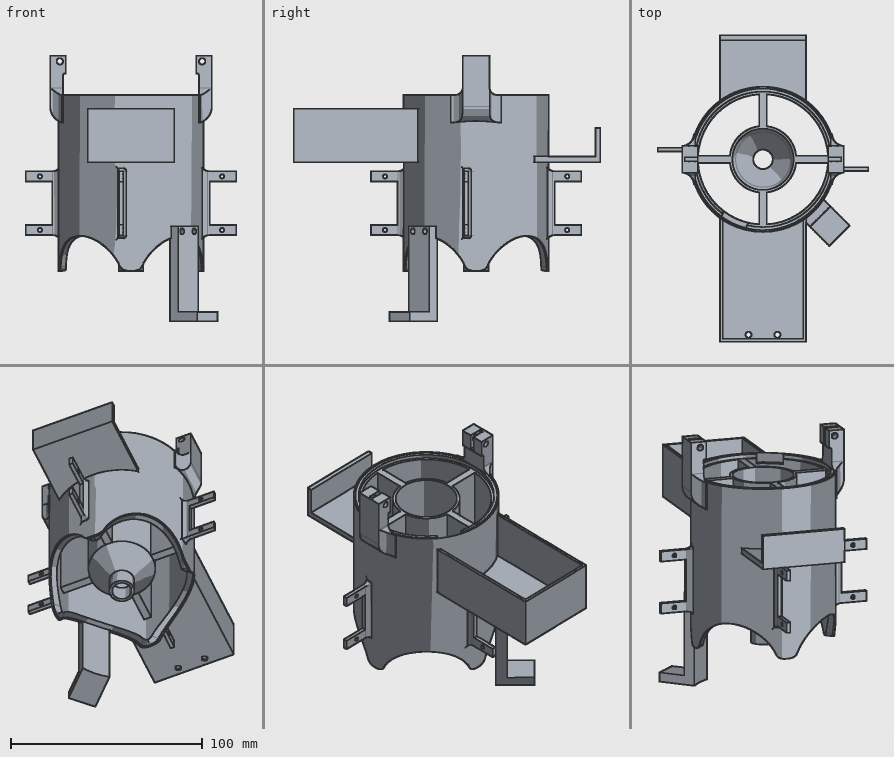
import cadquery as cq
import math

RIM_Z = 91.9
TUBE_INNER_R = 33.9
LIP_INNER_R = 35.3
TUBE_OUTER_R = 36.9
LIP_HEIGHT = 2.0
LEDGE_Z = RIM_Z - LIP_HEIGHT
NOTCH_ANGLE = 245
NOTCH_WIDTH = 14.0
NOTCH_DEPTH = 4.8

FUNNEL_OUTER_R = 17.4
FUNNEL_INNER_R = 16.0
CONE_TOP_R = 14.4
OUTLET_OUTER_D = 13.0
OUTLET_INNER_D = 10.0
CONE_BOTTOM_Z = 9.6
FUNNEL_WALL = 1.5
RIB_BOTTOM_Z = 20.5
RIB_WIDTH = 4.0

SHELL_OUTER_R = 37.9
SHELL_WALL = 0.08

ARCH_R = 23.7
ARCH_TOP_Z = 18.4
ARCH_TIP_R = 4.0

BOX_WIDTH = 44.9
BOX_END_Y = -95.1
BOX_BOTTOM_Z = 56.7
BOX_HEIGHT = 28.0
BOX_WALL = 1.5
BOX_HOLE_D = 3.0
BOX_HOLE_SPACING = 15.0
BOX_HOLE_Y = -91.4
TRAY_END_Y = 64.7
TRAY_FLOOR = 3.0
TRAY_WALL = 2.5
TRAY_HEIGHT = 17.9

RAIL_OFFSET = 5.1
RAIL_THICKNESS = 2.0
RAIL_BOTTOM_Z = 18.7
RAIL_HEIGHT = 33.4
RAIL_WEB_R = 41.0
RAIL_SPAN = 109.8
RAIL_ARM_R = RAIL_SPAN / 2
RAIL_ARM_HEIGHT = 5.5
RAIL_HOLE_D = 2.0
RAIL_HOLE_R = 47.5
RAIL_FILLET = 4.0

LUG_TOP_Z = 112.3
LUG_BOTTOM_Z = 77.0
LUG_OUTER_X = 42.2
LUG_WIDTH = 14.0
LUG_ROUND = 8.8
LUG_HEAD_BOTTOM_Z = 102.9
LUG_NECK_FILLET = 0.8
LUG_FLARE_R = 6.0
LUG_TOP_FILLET = 3.7
LUG_SLOT_WIDTH = 2.0
LUG_SLOT_END_X = 40.7
LUG_SLOT_BOTTOM_Z = 103.5
LUG_HOLE_D = 3.2
LUG_HOLE_X = 37.0
LUG_HOLE_Z = 109.3

FOOT_ANGLE = -45
FOOT_WIDTH = 15.0
FOOT_FACE_R = 42.2
FOOT_TOE_R = 56.4
FOOT_BOTTOM_Z = -26.2
FOOT_TOP_Z = 23.5
FOOT_TOE_THICKNESS = 5.0
FOOT_HOLE_D = 3.0
FOOT_HOLE_SPACING = 9.0
FOOT_HOLE_Z = 20.8


def cylinder(radius, bottom_z, top_z):
    return cq.Workplane("XY").workplane(offset=bottom_z).circle(radius).extrude(top_z - bottom_z)


def block(x_range, y_range, z_range):
    """Box given by its low and high limits along each axis."""
    lows, highs = zip(x_range, y_range, z_range)
    sizes = [high - low for low, high in zip(lows, highs)]
    return cq.Workplane("XY").box(*sizes, centered=False).translate(lows)


def turned(body, angle):
    return body.rotate((0, 0, 0), (0, 0, 1), angle)


def arch_cutter():
    """Two crossing diagonal tunnels whose arch runs tangentially into rounded leg tips."""
    centre_z = ARCH_TOP_Z - ARCH_R
    tip_u = math.sqrt((ARCH_R + ARCH_TIP_R) ** 2 - (ARCH_TIP_R - centre_z) ** 2)
    share = ARCH_R / (ARCH_R + ARCH_TIP_R)
    tangent_u = tip_u * share
    tangent_z = centre_z + (ARCH_TIP_R - centre_z) * share
    tip_angle = math.atan2(tangent_z - ARCH_TIP_R, tangent_u - tip_u) % (2 * math.pi)
    middle_angle = (tip_angle + 1.5 * math.pi) / 2
    middle_u = tip_u + ARCH_TIP_R * math.cos(middle_angle)
    middle_z = ARCH_TIP_R + ARCH_TIP_R * math.sin(middle_angle)
    tunnel = (
        cq.Workplane("XZ")
        .moveTo(-tip_u, 0)
        .threePointArc((-middle_u, middle_z), (-tangent_u, tangent_z))
        .threePointArc((0, ARCH_TOP_Z), (tangent_u, tangent_z))
        .threePointArc((middle_u, middle_z), (tip_u, 0))
        .close()
        .extrude(2 * SHELL_OUTER_R, both=True)
    )
    tunnel = tunnel.cut(cylinder(FUNNEL_OUTER_R, 0, ARCH_TOP_Z))
    return turned(tunnel, 45).union(turned(tunnel, -45))


def make_funnel():
    """Cup with a 45 degree cone, rounded into the cup wall, above a straight outlet."""
    outlet_outer_r = OUTLET_OUTER_D / 2
    outlet_inner_r = OUTLET_INNER_D / 2
    shoulder_z = CONE_BOTTOM_Z + FUNNEL_OUTER_R - outlet_outer_r
    inner_rise = CONE_BOTTOM_Z - outlet_outer_r + FUNNEL_WALL * math.sqrt(2)
    round_r = (FUNNEL_INNER_R - CONE_TOP_R) / (1 - math.sqrt(0.5))
    round_start_z = CONE_TOP_R + inner_rise
    round_end_z = round_start_z + round_r * math.sqrt(0.5)
    middle = math.radians(45 / 2)
    round_middle = (
        FUNNEL_INNER_R - round_r * (1 - math.cos(middle)),
        round_end_z - round_r * math.sin(middle),
    )
    return (
        cq.Workplane("XZ")
        .moveTo(outlet_inner_r, 0)
        .lineTo(outlet_outer_r, 0)
        .lineTo(outlet_outer_r, CONE_BOTTOM_Z)
        .lineTo(FUNNEL_OUTER_R, shoulder_z)
        .lineTo(FUNNEL_OUTER_R, LEDGE_Z)
        .lineTo(FUNNEL_INNER_R, LEDGE_Z)
        .lineTo(FUNNEL_INNER_R, round_end_z)
        .threePointArc(round_middle, (CONE_TOP_R, round_start_z))
        .lineTo(outlet_inner_r, outlet_inner_r + inner_rise)
        .close()
        .revolve(360, (0, 0, 0), (0, 1, 0))
    )


def make_rib():
    """Rib along +X, sunk a little into the funnel and the tube so that they join."""
    return block(
        (FUNNEL_OUTER_R - FUNNEL_WALL / 2, TUBE_INNER_R + FUNNEL_WALL / 2),
        (-RIB_WIDTH / 2, RIB_WIDTH / 2),
        (RIB_BOTTOM_Z, LEDGE_Z),
    )


def make_rail():
    """Rail beside the +X axis: an upright web with a drilled arm at each end."""
    y_range = (-RAIL_OFFSET - RAIL_THICKNESS / 2, -RAIL_OFFSET + RAIL_THICKNESS / 2)
    top_z = RAIL_BOTTOM_Z + RAIL_HEIGHT
    rail = block((TUBE_INNER_R, RAIL_ARM_R), y_range, (RAIL_BOTTOM_Z, top_z))
    gap = block(
        (RAIL_WEB_R, RAIL_ARM_R),
        y_range,
        (RAIL_BOTTOM_Z + RAIL_ARM_HEIGHT, top_z - RAIL_ARM_HEIGHT),
    )
    hole_inset = RAIL_ARM_HEIGHT / 2
    holes = (
        cq.Workplane("XZ")
        .pushPoints([(RAIL_HOLE_R, z) for z in (RAIL_BOTTOM_Z + hole_inset, top_z - hole_inset)])
        .circle(RAIL_HOLE_D / 2)
        .extrude(2 * RAIL_OFFSET)
    )
    return rail.cut(gap).cut(holes)


def make_tube():
    """Arched tube with a stepped, notched rim and the four rails filleted onto its outside."""
    tube = cylinder(TUBE_OUTER_R, 0, RIM_Z)
    rail_top_z = RAIL_BOTTOM_Z + RAIL_HEIGHT
    rail_root = cq.selectors.BoxSelector(
        (TUBE_INNER_R, -RAIL_OFFSET - RAIL_THICKNESS, RAIL_BOTTOM_Z - RAIL_THICKNESS),
        (SHELL_OUTER_R, -RAIL_OFFSET + RAIL_THICKNESS, rail_top_z + RAIL_THICKNESS),
        boundingbox=True,
    )
    for _ in range(4):
        tube = tube.union(make_rail()).edges(rail_root).fillet(RAIL_FILLET)
        tube = turned(tube, 90)
    tube = tube.cut(cylinder(TUBE_INNER_R, 0, RIM_Z))
    tube = tube.cut(cylinder(LIP_INNER_R, LEDGE_Z, RIM_Z))
    notch = block(
        (0, SHELL_OUTER_R),
        (-NOTCH_WIDTH / 2, NOTCH_WIDTH / 2),
        (RIM_Z - NOTCH_DEPTH, RIM_Z),
    )
    return tube.cut(turned(notch, NOTCH_ANGLE)).cut(arch_cutter())


def make_box():
    """Open-topped box with two drain holes in its floor."""
    half = BOX_WIDTH / 2
    top_z = BOX_BOTTOM_Z + BOX_HEIGHT
    box = block((-half, half), (BOX_END_Y, 0), (BOX_BOTTOM_Z, top_z))
    cavity = block(
        (-half + BOX_WALL, half - BOX_WALL),
        (BOX_END_Y + BOX_WALL, 0),
        (BOX_BOTTOM_Z + BOX_WALL, top_z),
    )
    holes = (
        cq.Workplane("XY")
        .workplane(offset=BOX_BOTTOM_Z)
        .pushPoints([(side * BOX_HOLE_SPACING / 2, BOX_HOLE_Y) for side in (-1, 1)])
        .circle(BOX_HOLE_D / 2)
        .extrude(BOX_WALL)
    )
    return box.cut(cavity).cut(holes)


def make_tray():
    """Flat floor with an upturned wall at its far end."""
    half = BOX_WIDTH / 2
    floor = block((-half, half), (0, TRAY_END_Y), (BOX_BOTTOM_Z, BOX_BOTTOM_Z + TRAY_FLOOR))
    wall = block(
        (-half, half),
        (TRAY_END_Y - TRAY_WALL, TRAY_END_Y),
        (BOX_BOTTOM_Z, BOX_BOTTOM_Z + TRAY_HEIGHT),
    )
    return floor.union(wall)


def make_foot():
    half = FOOT_WIDTH / 2
    upright = block((0, FOOT_FACE_R), (-half, half), (FOOT_BOTTOM_Z, FOOT_TOP_Z))
    toe = block(
        (0, FOOT_TOE_R), (-half, half), (FOOT_BOTTOM_Z, FOOT_BOTTOM_Z + FOOT_TOE_THICKNESS)
    )
    return turned(upright.union(toe), FOOT_ANGLE)


def foot_holes():
    holes = (
        cq.Workplane("YZ")
        .pushPoints([(side * FOOT_HOLE_SPACING / 2, FOOT_HOLE_Z) for side in (-1, 1)])
        .circle(FOOT_HOLE_D / 2)
        .extrude(FOOT_FACE_R)
    )
    return turned(holes, FOOT_ANGLE)


def make_lug():
    """Slotted lug on +X, flared where it meets the shell."""
    half = LUG_WIDTH / 2
    round_centre_x = LUG_OUTER_X - LUG_ROUND
    round_start_z = LUG_BOTTOM_Z + LUG_ROUND
    round_end_z = round_start_z - math.sqrt(LUG_ROUND**2 - (LIP_INNER_R - round_centre_x) ** 2)
    diagonal = LUG_ROUND * math.sqrt(0.5)
    neck_centre_x = LIP_INNER_R - LUG_NECK_FILLET
    neck_centre_z = LUG_HEAD_BOTTOM_Z - LUG_NECK_FILLET
    neck_diagonal = LUG_NECK_FILLET * math.sqrt(0.5)
    side_profile = (
        cq.Workplane("XZ")
        .moveTo(LIP_INNER_R, round_end_z)
        .threePointArc(
            (round_centre_x + diagonal, round_start_z - diagonal), (LUG_OUTER_X, round_start_z)
        )
        .lineTo(LUG_OUTER_X, LUG_TOP_Z)
        .lineTo(TUBE_INNER_R, LUG_TOP_Z)
        .lineTo(TUBE_INNER_R, LUG_HEAD_BOTTOM_Z)
        .lineTo(neck_centre_x, LUG_HEAD_BOTTOM_Z)
        .threePointArc(
            (neck_centre_x + neck_diagonal, neck_centre_z + neck_diagonal),
            (LIP_INNER_R, neck_centre_z),
        )
        .close()
        .extrude(half + LUG_FLARE_R, both=True)
    )
    straight = block((0, LUG_OUTER_X), (-half, half), (LUG_BOTTOM_Z, LUG_TOP_Z))
    flare_top_z = RIM_Z + LUG_TOP_FILLET
    flare = block(
        (LIP_INNER_R, LUG_OUTER_X),
        (-half - LUG_FLARE_R, half + LUG_FLARE_R),
        (LUG_BOTTOM_Z, flare_top_z),
    )
    for side in (-1, 1):
        scoop = cylinder(LUG_FLARE_R, LUG_BOTTOM_Z, flare_top_z)
        flare = flare.cut(scoop.translate((LUG_OUTER_X, side * (half + LUG_FLARE_R), 0)))
        top_round_y = side * (half + LUG_TOP_FILLET)
        top_round = (
            cq.Workplane("YZ")
            .center(top_round_y, flare_top_z)
            .circle(LUG_TOP_FILLET)
            .extrude(LUG_OUTER_X)
        )
        outside = sorted((top_round_y, side * 2 * LUG_WIDTH))
        above_rim = block((0, LUG_OUTER_X), outside, (RIM_Z, flare_top_z))
        flare = flare.cut(top_round).cut(above_rim)
    lug = side_profile.intersect(straight.union(flare))
    slot = block(
        (0, LUG_SLOT_END_X),
        (-LUG_SLOT_WIDTH / 2, LUG_SLOT_WIDTH / 2),
        (LUG_SLOT_BOTTOM_Z, LUG_TOP_Z),
    )
    hole = (
        cq.Workplane("XZ")
        .center(LUG_HOLE_X, LUG_HOLE_Z)
        .circle(LUG_HOLE_D / 2)
        .extrude(LUG_WIDTH, both=True)
    )
    return lug.cut(slot).cut(hole)


def make_housing():
    """Tube with its outer fittings, carrying the funnel on four ribs."""
    housing = make_tube().union(make_funnel())
    for quarter in range(4):
        housing = housing.union(turned(make_rib(), 90 * quarter))
    bore = cylinder(TUBE_OUTER_R, FOOT_BOTTOM_Z, RIM_Z)
    for fitting in (make_box(), make_tray(), make_foot().cut(foot_holes())):
        housing = housing.union(fitting.cut(bore))
    for angle in (0, 180):
        housing = housing.union(turned(make_lug(), angle))
    return housing


def make_shell(housing):
    """Thin arched skin, pierced wherever a fitting of the housing passes through it."""
    skin = cylinder(SHELL_OUTER_R, 0, RIM_Z)
    skin = skin.cut(cylinder(SHELL_OUTER_R - SHELL_WALL, 0, RIM_Z)).cut(arch_cutter())
    return skin.cut(housing).cut(foot_holes())


housing = make_housing()
shell = make_shell(housing)
result = cq.Compound.makeCompound([*housing.solids().vals(), *shell.solids().vals()])